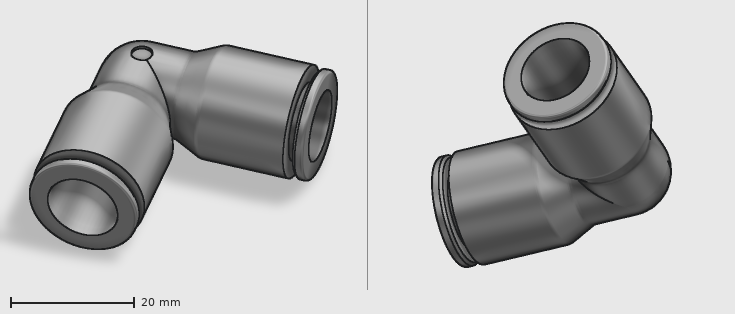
import cadquery as cq
import math


neck_radius = 7.3
cone_start = 7.6
cone_end = 12.35
cone_blend_radius = 1.75

body_radius = 9.5
body_end = 27.3

overall_length = 40.06
stem_radius = 6.6
flange_radius = 9.25
flange_thickness = 1.85
flange_chamfer = 0.5
flange_fillet = 0.5
arm_length = overall_length - body_radius
flange_start = arm_length - flange_thickness

bore_radius = 6.0

badge_radius = 1.75
badge_depth = 0.7

cone_angle = math.atan2(body_radius - neck_radius, cone_end - cone_start)
blend_tangent = cone_blend_radius * math.tan(cone_angle / 2)
blend_along = blend_tangent * math.cos(cone_angle)
blend_across = blend_tangent * math.sin(cone_angle)
blend_sagitta = cone_blend_radius * (1 - math.cos(cone_angle / 2))


def make_arm():
    """Solid arm along +X, revolved from its half outline."""
    fillet_offset = flange_fillet * (1 - math.sqrt(0.5))
    outline = (
        cq.Workplane("XY")
        .lineTo(0, neck_radius)
        .lineTo(cone_start - blend_tangent, neck_radius)
        .sagittaArc((cone_start + blend_along, neck_radius + blend_across), -blend_sagitta)
        .lineTo(cone_end - blend_along, body_radius - blend_across)
        .sagittaArc((cone_end + blend_tangent, body_radius), blend_sagitta)
        .lineTo(body_end, body_radius)
        .lineTo(body_end, stem_radius)
        .lineTo(flange_start, stem_radius)
        .lineTo(flange_start, flange_radius - flange_chamfer)
        .lineTo(flange_start + flange_chamfer, flange_radius)
        .lineTo(arm_length - flange_fillet, flange_radius)
        .threePointArc(
            (arm_length - fillet_offset, flange_radius - fillet_offset),
            (arm_length, flange_radius - flange_fillet),
        )
        .lineTo(arm_length, 0)
        .close()
    )
    return outline.revolve(360, (0, 0, 0), (1, 0, 0))


def make_bore():
    """Tube bore along +X, from the elbow centre to the arm's open end."""
    return cq.Workplane("YZ").circle(bore_radius).extrude(arm_length)


def make_elbow(arm, corner_radius):
    """Join an arm along +X with its copy along -Y by a ball at the corner."""
    second_arm = arm.rotate((0, 0, 0), (0, 0, 1), -90)
    corner = cq.Workplane("XY").sphere(corner_radius)
    return arm.union(second_arm).union(corner)


def make_badge_recess():
    """Cutter for the flat-floored recess, reaching from its floor to above the elbow."""
    floor = neck_radius - badge_depth
    return cq.Workplane("XY").workplane(offset=floor).circle(badge_radius).extrude(2 * badge_depth)


outer = make_elbow(make_arm(), neck_radius)
inner = make_elbow(make_bore(), bore_radius)
result = outer.cut(inner).cut(make_badge_recess())